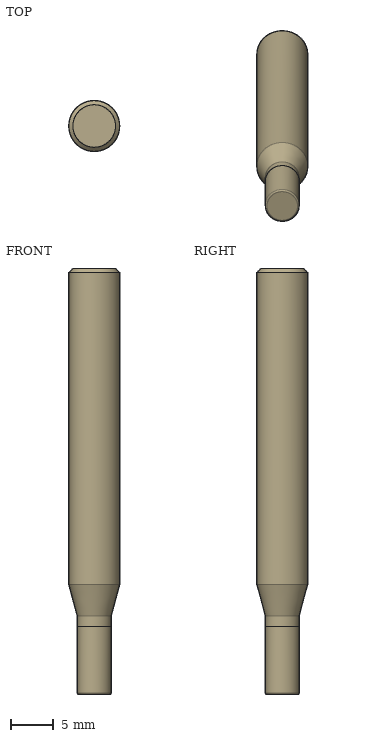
import cadquery as cq
import math

total_length = 50.0

tip_diameter = 4.0
tip_length = 8.0
tip_corner_radius = 0.2

shank_diameter = 6.0
shank_chamfer = 0.5
neck_diameter = tip_diameter
neck_length = 1.2
taper_half_angle = 15.0

shank_radius = shank_diameter / 2
neck_radius = neck_diameter / 2
taper_start = tip_length + neck_length
taper_length = (shank_radius - neck_radius) / math.tan(math.radians(taper_half_angle))
taper_end = taper_start + taper_length


def make_shank():
    """Turned shank: neck, conical taper and cylinder with a chamfered top edge."""
    return (
        cq.Workplane("XZ")
        .moveTo(0, tip_length)
        .lineTo(neck_radius, tip_length)
        .lineTo(neck_radius, taper_start)
        .lineTo(shank_radius, taper_end)
        .lineTo(shank_radius, total_length - shank_chamfer)
        .lineTo(shank_radius - shank_chamfer, total_length)
        .lineTo(0, total_length)
        .close()
        .revolve(360, (0, 0, 0), (0, 1, 0))
    )


def make_tip():
    """Cylindrical tip below the shank, with a small rounded lower edge."""
    return (
        cq.Workplane("XY")
        .circle(tip_diameter / 2)
        .extrude(tip_length)
        .faces("<Z")
        .edges()
        .fillet(tip_corner_radius)
    )


shank = make_shank()
tip = make_tip()

result = cq.Compound.makeCompound([shank.val(), tip.val()])